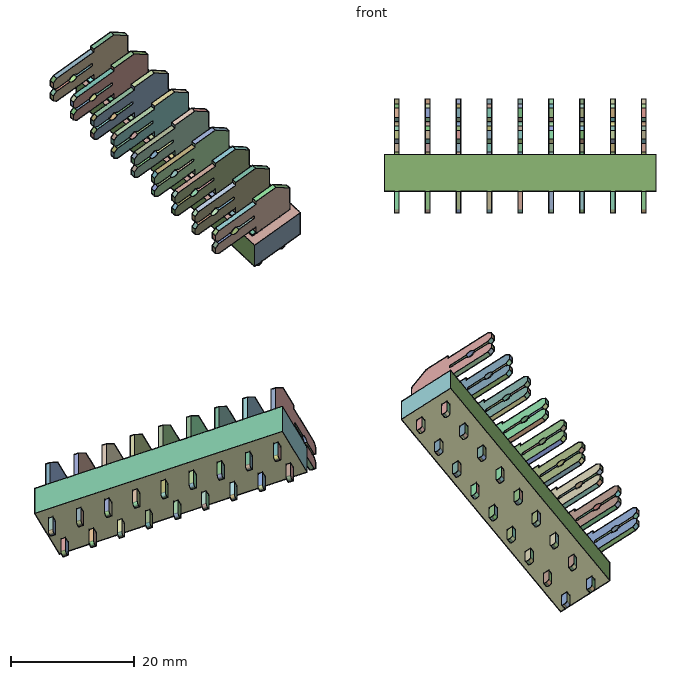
import cadquery as cq


TERMINAL_COUNT = 9
PITCH = 5.0

HOUSING_LENGTH = 44.0
HOUSING_DEPTH = 9.85
HOUSING_HEIGHT = 6.0
housing_front = -HOUSING_DEPTH / 2

PIN_SPACING = 5.0
PIN_WIDTH = 1.1
PIN_LENGTH = 3.5
PIN_TIP_RADIUS = 0.5

THICKNESS = 0.8
BACK_MARGIN = 0.85
BODY_DEPTH = 7.3
BODY_HEIGHT = 9.0
BACK_CHAMFER = 3.0
FOOT_LENGTH = 0.8
FOOT_HEIGHT = 0.36
body_back = HOUSING_DEPTH / 2 - BACK_MARGIN
body_front = body_back - BODY_DEPTH
foot_front = body_front - FOOT_LENGTH
body_top = HOUSING_HEIGHT + BODY_HEIGHT

FORK_OVERHANG = 7.0
FORK_DROP = 0.8
FORK_HEIGHT = 6.4
TIP_CHAMFER = 0.7
UPPER_PRONG_HEIGHT = 2.9
SLOT_WIDTH = 0.7
SLOT_LENGTH = 8.4
EYE_DIAMETER = 1.65
EYE_FROM_TIP = 4.3
fork_tip = housing_front - FORK_OVERHANG
fork_top = body_top - FORK_DROP
fork_bottom = fork_top - FORK_HEIGHT
slot_top = fork_top - UPPER_PRONG_HEIGHT
slot_bottom = slot_top - SLOT_WIDTH
slot_center = (slot_top + slot_bottom) / 2

terminal_positions = [(i - (TERMINAL_COUNT - 1) / 2) * PITCH for i in range(TERMINAL_COUNT)]
pin_positions = [-PIN_SPACING / 2, PIN_SPACING / 2]


def box(size_x, y_range, z_range):
    """Box centred on X = 0 that fills the given Y and Z ranges."""
    y_min, y_max = y_range
    z_min, z_max = z_range
    block = cq.Workplane("XY").box(size_x, y_max - y_min, z_max - z_min, centered=(True, False, False))
    return block.translate((0, y_min, z_min))


def make_cross_cylinder(diameter, y, z):
    """Cylinder along X, as long as the plate is thick."""
    profile = cq.Workplane("YZ", origin=(-THICKNESS / 2, y, z)).circle(diameter / 2)
    return profile.extrude(THICKNESS)


def make_slot():
    """Round-ended gap between the arms, widened by a round eye."""
    inner_end = fork_tip + SLOT_LENGTH
    round_center = inner_end - SLOT_WIDTH / 2
    channel = box(THICKNESS, (fork_tip, round_center), (slot_bottom, slot_top))
    end_round = make_cross_cylinder(SLOT_WIDTH, round_center, slot_center)
    eye = make_cross_cylinder(EYE_DIAMETER, fork_tip + EYE_FROM_TIP, slot_center)
    return channel.union(end_round).union(eye)


def make_fork():
    """Two arms with both corners of each tip chamfered."""
    fork = box(THICKNESS, (fork_tip, body_front), (fork_bottom, fork_top)).cut(make_slot())
    return fork.faces("<Y").edges("|X").chamfer(TIP_CHAMFER)


def make_pin(y):
    """Solder pin through the housing, with a rounded lower end."""
    pin = box(THICKNESS, (y - PIN_WIDTH / 2, y + PIN_WIDTH / 2), (-PIN_LENGTH, HOUSING_HEIGHT))
    return pin.faces("<Z").edges("|X").fillet(PIN_TIP_RADIUS)


def make_terminal():
    """Plate with its foot, fork and pins, centred on X = 0."""
    terminal = box(THICKNESS, (body_front, body_back), (HOUSING_HEIGHT, body_top))
    terminal = terminal.edges("|X and >Y and >Z").chamfer(BACK_CHAMFER)
    foot_top = HOUSING_HEIGHT + FOOT_HEIGHT
    terminal = terminal.union(box(THICKNESS, (foot_front, body_front), (HOUSING_HEIGHT, foot_top)))
    terminal = terminal.union(make_fork())
    for y in pin_positions:
        terminal = terminal.union(make_pin(y))
    return terminal


def make_housing():
    """Plain block with a through hole for every pin."""
    housing = cq.Workplane("XY").box(
        HOUSING_LENGTH, HOUSING_DEPTH, HOUSING_HEIGHT, centered=(True, True, False)
    )
    hole_centers = [(x, y) for x in terminal_positions for y in pin_positions]
    holes = cq.Workplane("XY").pushPoints(hole_centers).rect(THICKNESS, PIN_WIDTH).extrude(HOUSING_HEIGHT)
    return housing.cut(holes)


housing = make_housing()
terminal = make_terminal()
terminals = [terminal.translate((x, 0, 0)) for x in terminal_positions]

result = cq.Compound.makeCompound([housing.val(), *[t.val() for t in terminals]])